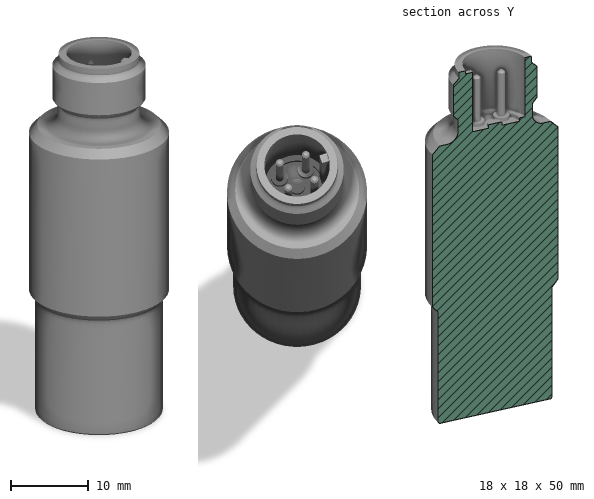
import cadquery as cq
import math

TOTAL_HEIGHT = 50.0
BARREL_BOTTOM = 16.1
BARREL_TOP = 40.0
COLLAR_BOTTOM = 43.1
COLLAR_TOP = 49.1

BASE_RADIUS = 8.2
BARREL_RADIUS = 9.0
NECK_RADIUS = 5.35
COLLAR_RADIUS = 6.0
TIP_RADIUS = 5.2

BASE_CHAMFER = 0.25
BARREL_LOWER_TAPER_HEIGHT = 0.9
BARREL_TOP_CHAMFER = 1.05
NECK_FILLET = 1.5
COLLAR_TAPER_HEIGHT = 0.75

SOCKET_RADIUS = 4.2
SOCKET_DEPTH = 8.5
SOCKET_FLOOR = TOTAL_HEIGHT - SOCKET_DEPTH

RECESS_RADIUS = 3.45
RECESS_DEPTH = 0.5
PAD_RADIUS = 1.05
CENTER_BOSS_RADIUS = 1.0

KEY_WIDTH = 1.1
KEY_INNER_X = 3.2
KEY_TOP = TOTAL_HEIGHT - 0.45
KEY_WALL_OVERLAP = 0.25

PIN_COUNT = 4
PIN_CIRCLE_RADIUS = 2.5
PIN_FIRST_ANGLE = 45.0
PIN_RADIUS = 0.5
PIN_TIP_CHAMFER = 0.25
PIN_TOP = TOTAL_HEIGHT - 2.1

PIN_ANGLES = [math.radians(PIN_FIRST_ANGLE + i * 360 / PIN_COUNT) for i in range(PIN_COUNT)]
PIN_CENTERS = [
    (PIN_CIRCLE_RADIUS * math.cos(angle), PIN_CIRCLE_RADIUS * math.sin(angle))
    for angle in PIN_ANGLES
]


def cylinder(radius, bottom, top):
    """Upright cylinder on the Z axis between two heights."""
    return cq.Workplane("XY").workplane(offset=bottom).circle(radius).extrude(top - bottom)


def make_outer_shape():
    """Turned exterior: base, barrel, filleted neck, collar and tip."""
    fillet_sag = NECK_FILLET * (1 - math.sqrt(0.5))
    return (
        cq.Workplane("XZ")
        .lineTo(BASE_RADIUS - BASE_CHAMFER, 0)
        .lineTo(BASE_RADIUS, BASE_CHAMFER)
        .lineTo(BASE_RADIUS, BARREL_BOTTOM)
        .lineTo(BARREL_RADIUS, BARREL_BOTTOM + BARREL_LOWER_TAPER_HEIGHT)
        .lineTo(BARREL_RADIUS, BARREL_TOP - BARREL_TOP_CHAMFER)
        .lineTo(BARREL_RADIUS - BARREL_TOP_CHAMFER, BARREL_TOP)
        .lineTo(NECK_RADIUS + NECK_FILLET, BARREL_TOP)
        .threePointArc(
            (NECK_RADIUS + fillet_sag, BARREL_TOP + fillet_sag),
            (NECK_RADIUS, BARREL_TOP + NECK_FILLET),
        )
        .lineTo(NECK_RADIUS, COLLAR_BOTTOM)
        .lineTo(COLLAR_RADIUS, COLLAR_BOTTOM + COLLAR_TAPER_HEIGHT)
        .lineTo(COLLAR_RADIUS, COLLAR_TOP - COLLAR_TAPER_HEIGHT)
        .lineTo(TIP_RADIUS, COLLAR_TOP)
        .lineTo(TIP_RADIUS, TOTAL_HEIGHT)
        .lineTo(0, TOTAL_HEIGHT)
        .close()
        .revolve(360, (0, 0, 0), (0, 1, 0))
    )


def make_floor_recess():
    """Volume removed from the socket floor around the pin pads and central boss."""
    bottom = SOCKET_FLOOR - RECESS_DEPTH
    pads = (
        cq.Workplane("XY")
        .workplane(offset=bottom)
        .pushPoints(PIN_CENTERS)
        .circle(PAD_RADIUS)
        .extrude(RECESS_DEPTH)
    )
    recess = cylinder(RECESS_RADIUS, bottom, SOCKET_FLOOR)
    return recess.cut(pads).cut(cylinder(CENTER_BOSS_RADIUS, bottom, SOCKET_FLOOR))


def make_key():
    """Rectangular rib that runs from the recess bottom up and merges into the socket wall."""
    bottom = SOCKET_FLOOR - RECESS_DEPTH
    length = SOCKET_RADIUS + KEY_WALL_OVERLAP - KEY_INNER_X
    return (
        cq.Workplane("XY")
        .box(length, KEY_WIDTH, KEY_TOP - bottom, centered=(False, True, False))
        .translate((KEY_INNER_X, 0, bottom))
    )


def make_housing():
    """Complete housing with its socket, floor recess and coding key."""
    socket = cylinder(SOCKET_RADIUS, SOCKET_FLOOR, TOTAL_HEIGHT)
    return make_outer_shape().cut(socket).cut(make_floor_recess()).union(make_key())


def make_pin(center):
    """Contact pin with a chamfered tip, standing on its pad."""
    pin = cylinder(PIN_RADIUS, SOCKET_FLOOR, PIN_TOP).faces(">Z").chamfer(PIN_TIP_CHAMFER)
    return pin.translate((*center, 0))


housing = make_housing()

pins = []
for pin_center in PIN_CENTERS:
    pins.append(make_pin(pin_center).val())

result = cq.Compound.makeCompound([housing.solids().val(), *pins])